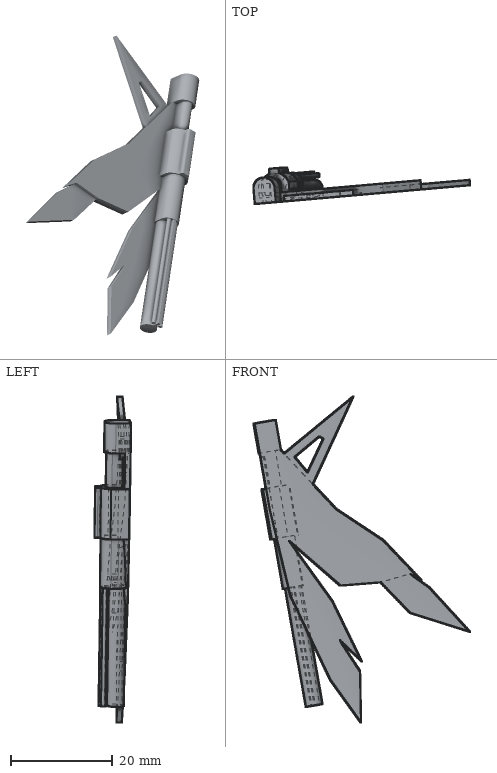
import cadquery as cq
import math


WING_TURN = 5.0
STEM_LEAN = 10.0

HEAD_END = 6.0
SLEEVE_START = 13.1
SLEEVE_END = 23.2
HOUSING_END = 33.2
BARREL_END = 57.0

STEM_WIDTH = 4.25
STEM_CENTRE = STEM_WIDTH / 2
ARCH_CENTRE_DEPTH = 3.0
NECK_RADIUS = 1.15
NECK_ARCH_DEPTH = 3.55
SLEEVE_HALF_WIDTH = 2.75
SLEEVE_RADIUS = 2.87
SLEEVE_FRONT_DEPTH = 0.1
RAIL_WIDTH = 2.0
RAIL_DEPTH = 6.74
RAIL_FILLET = 0.45

BARREL_RADIUS = 1.7
BARREL_DEPTH = 2.1
HOUSING_RADIUS = 2.0
HOUSING_REAR_DEPTH = 3.55
ROD_RADIUS = 0.42
ROD_OFFSET = 0.9
ROD_DEPTH = 4.6
STRIP_WIDTH = 0.6
STRIP_DEPTH = 5.43

GUSSET_LENGTH = 1.4
GUSSET_DEPTH = 2.1
LEDGE_WIDTH = 0.3
LEDGE_DEPTH = 1.5

FEATHER_THICKNESS = 1.1
BODY_THICKNESS = 1.87
EDGE_BEND = 17.2


def stem_point(across, along):
    """XZ position of a point given across and along the leaning stem."""
    lean = math.radians(STEM_LEAN)
    x = across * math.cos(lean) + along * math.sin(lean)
    z = across * math.sin(lean) - along * math.cos(lean)
    return (x, z)


SPIKE_TIP = (19.6, 5.34)
SPIKE_ROOT = (5.8, -5.97)
SHOULDER = (11.6, -11.95)
UPPER_BEND = (16.28, -16.9)
UPPER_ELBOW = (25.55, -23.02)
WING_BARB = (33.1, -30.94)
WING_NOTCH = (30.9, -29.72)
LOWER_ELBOW = (25.06, -31.42)
LOWER_BEND = (17.1, -32.06)
CROTCH = (6.87, -23.2)

FEATHER_OUTLINE = [
    stem_point(0, 0),
    stem_point(STEM_WIDTH, 0),
    stem_point(STEM_WIDTH, HEAD_END),
    SPIKE_ROOT,
    SPIKE_TIP,
    SHOULDER,
    UPPER_BEND,
    UPPER_ELBOW,
    WING_BARB,
    WING_NOTCH,
    (34.67, -32.35),
    (42.79, -41.19),
    (30.9, -37.45),
    LOWER_ELBOW,
    LOWER_BEND,
    CROTCH,
    (15.45, -35.07),
    (21.28, -47.02),
    (16.92, -42.84),
    (20.95, -48.96),
    (21.15, -59.17),
    (15.06, -50.71),
    (7.1, -34.05),
    stem_point(0, EDGE_BEND),
]

SPIKE_WINDOW = [(8.0, -6.6), (12.87, -2.53), (13.65, -3.01), (10.53, -9.62)]

BODY_OUTLINE = [
    stem_point(STEM_CENTRE, HEAD_END),
    stem_point(STEM_WIDTH, HEAD_END),
    UPPER_BEND,
    UPPER_ELBOW,
    WING_BARB,
    WING_NOTCH,
    LOWER_ELBOW,
    LOWER_BEND,
    CROTCH,
    stem_point(STEM_CENTRE, SLEEVE_END),
]


def plate(outline, thickness):
    """Flat plate from the front plane back to the given thickness."""
    return cq.Workplane("XZ").polyline(outline).close().extrude(-thickness)


def stem_sketch(start):
    """Cross-section plane of the upright stem, centred on its width."""
    return cq.Workplane("XY", origin=(STEM_CENTRE, 0, -start))


def stem_box(half_width, front, rear, start, end):
    """Rectangular length of stem between two depths."""
    profile = stem_sketch(start).center(0, (front + rear) / 2).rect(2 * half_width, rear - front)
    return profile.extrude(start - end)


def stem_rod(across, depth, radius, start, end):
    """Round length of stem."""
    return stem_sketch(start).center(across, depth).circle(radius).extrude(start - end)


def arched_stem(half_width, radius, front, start, end):
    """Length of stem with a flat front, straight sides and an arched back."""
    side_depth = ARCH_CENTRE_DEPTH + math.sqrt(radius**2 - half_width**2)
    profile = (
        stem_sketch(start)
        .moveTo(-half_width, front)
        .lineTo(half_width, front)
        .lineTo(half_width, side_depth)
        .threePointArc((0, ARCH_CENTRE_DEPTH + radius), (-half_width, side_depth))
        .close()
    )
    return profile.extrude(start - end)


def make_neck():
    """Narrow arched neck with the gusset and ledge along its left side."""
    neck = stem_box(NECK_RADIUS, 0, NECK_ARCH_DEPTH, HEAD_END, SLEEVE_START)
    neck = neck.union(stem_rod(0, NECK_ARCH_DEPTH, NECK_RADIUS, HEAD_END, SLEEVE_START))
    neck_left = STEM_CENTRE - NECK_RADIUS
    gusset_outline = [(0, -HEAD_END), (neck_left, -HEAD_END), (neck_left, -HEAD_END - GUSSET_LENGTH)]
    gusset = plate(gusset_outline, GUSSET_DEPTH)
    ledge_outline = [
        (neck_left - LEDGE_WIDTH, -HEAD_END),
        (neck_left, -HEAD_END),
        (neck_left, -SLEEVE_START),
        (neck_left - LEDGE_WIDTH, -SLEEVE_START),
    ]
    ledge = plate(ledge_outline, LEDGE_DEPTH)
    return neck.union(gusset).union(ledge)


def make_sleeve():
    """Wide arched sleeve with a round-edged rail along its back."""
    sleeve = arched_stem(SLEEVE_HALF_WIDTH, SLEEVE_RADIUS, SLEEVE_FRONT_DEPTH, SLEEVE_START, SLEEVE_END)
    rail = stem_box(RAIL_WIDTH / 2, ARCH_CENTRE_DEPTH, RAIL_DEPTH, SLEEVE_START, SLEEVE_END)
    rail = rail.faces(">Y").edges("|Z").fillet(RAIL_FILLET)
    return sleeve.union(rail)


def make_housing():
    """Slot-shaped housing around the top of the barrel."""
    housing = stem_box(HOUSING_RADIUS, BARREL_DEPTH, HOUSING_REAR_DEPTH, SLEEVE_END, HOUSING_END)
    for depth in (BARREL_DEPTH, HOUSING_REAR_DEPTH):
        housing = housing.union(stem_rod(0, depth, HOUSING_RADIUS, SLEEVE_END, HOUSING_END))
    return housing


def make_barrel():
    """Barrel with two thin rods and a flat strip running behind it."""
    barrel = stem_rod(0, BARREL_DEPTH, BARREL_RADIUS, SLEEVE_END, BARREL_END)
    strip = stem_box(STRIP_WIDTH / 2, BARREL_DEPTH, STRIP_DEPTH, SLEEVE_END, BARREL_END)
    barrel = barrel.union(strip)
    for across in (-ROD_OFFSET, ROD_OFFSET):
        barrel = barrel.union(stem_rod(across, ROD_DEPTH, ROD_RADIUS, SLEEVE_END, BARREL_END))
    return barrel


def make_stem():
    """Whole stem, leaned over about its upper left corner."""
    stem = arched_stem(STEM_CENTRE, STEM_CENTRE, 0, 0, HEAD_END)
    for section in (make_neck(), make_sleeve(), make_housing(), make_barrel()):
        stem = stem.union(section)
    return stem.rotate((0, 0, 0), (0, 1, 0), -STEM_LEAN)


def make_wing():
    """Thin feathered plate with its spike window, thickened over the body."""
    feathers = plate(FEATHER_OUTLINE, FEATHER_THICKNESS).cut(plate(SPIKE_WINDOW, FEATHER_THICKNESS))
    return feathers.union(plate(BODY_OUTLINE, BODY_THICKNESS))


result = make_wing().union(make_stem()).rotate((0, 0, 0), (0, 0, 1), WING_TURN)